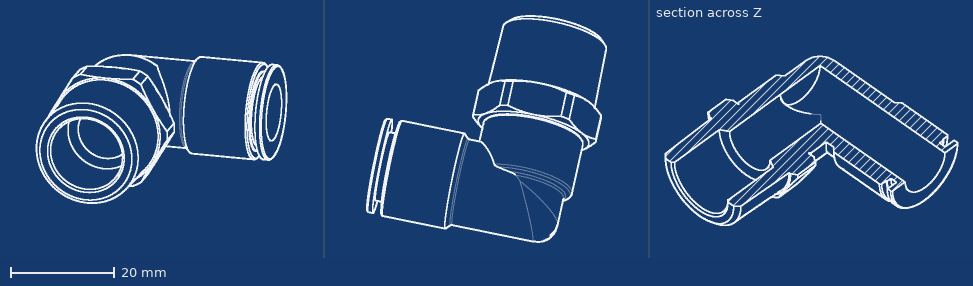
import cadquery as cq
import math


elbow_radius = 8.5
corner_tangency = 0.52
reach = 34.4

sleeve_radius = 9.9
sleeve_edge_y = -2.45
shoulder_slope = 30.0
shoulder_round = 0.55
sleeve_bottom_chamfer = 0.35

hex_top_y = -13.0
hex_width = 22.0
hex_height = 6.55
hex_corner_radius = 12.2
hex_chamfer_height = 0.77

thread_end_y = -33.55
thread_root_radius = 10.6
thread_tip_radius = 10.28
thread_chamfer = 1.0

socket_radius = 9.45
socket_slope = 45.0
socket_foot_round = 0.47
socket_start_x = 12.85
socket_end_x = 25.6
socket_chamfer = 0.3
seat_radius = 7.83
seat_length = 0.2

ring_neck_radius = 6.8
flange_radius = 9.3
flange_start_x = 27.2
flange_end_x = 28.42
flange_chamfer = 0.25

bore_radius = 5.5
mouth_radius = 7.25
mouth_chamfer = 0.47
mouth_depth = 12.9
mouth_cone_depth = 1.05

hex_bottom_y = hex_top_y - hex_height


def turned_about_y(profile):
    """Revolve (radius, y) points about the threaded leg axis."""
    return cq.Workplane("XY").polyline(profile).close().revolve(360, (0, 0), (0, 1))


def fillet_point(radius, slope):
    """Radial and axial travel along a fillet from a cylinder wall to the given slope.

    The slope is in radians, zero being square to the axis.
    """
    return radius * (1 - math.sin(slope)), radius * math.cos(slope)


def region(points):
    """Upright prism that keeps one part of the elbow."""
    return cq.Workplane("XY").polyline(points).close().extrude(reach, both=True)


def rounded_corner():
    """Wedge of an ellipsoid tangent to both legs, stretched along the outer diagonal."""
    along = math.sqrt(1 + corner_tangency)
    across = math.sqrt(1 - corner_tangency)
    half_angle = math.degrees(math.atan2(across, along))
    half_disc = cq.Workplane("XZ").moveTo(0, -elbow_radius)
    half_disc = half_disc.threePointArc((elbow_radius, 0), (0, elbow_radius)).close()
    wedge = half_disc.revolve(2 * half_angle, (0, 0), (0, 1))
    wedge = wedge.rotate((0, 0, 0), (0, 0, 1), -half_angle)
    stretch = cq.Matrix([
        [along, 0, 0, 0],
        [0, across, 0, 0],
        [0, 0, 1, 0],
    ])
    return cq.Workplane(wedge.val().transformGeometry(stretch)).rotate((0, 0, 0), (0, 0, 1), 135)


def elbow():
    above = (-corner_tangency * reach, reach)
    beside = (-reach, corner_tangency * reach)
    inner = (reach, -reach)
    x_leg_region = region([(0, 0), above, (reach, reach), inner])
    y_leg_region = region([(0, 0), inner, (-reach, -reach), beside])

    x_leg = cq.Workplane("YZ").workplane(offset=-elbow_radius).circle(elbow_radius)
    x_leg = x_leg.extrude(elbow_radius + socket_start_x).intersect(x_leg_region)
    y_leg = cq.Workplane("XZ").workplane(offset=-elbow_radius).circle(elbow_radius)
    y_leg = y_leg.extrude(elbow_radius - hex_top_y).intersect(y_leg_region)
    return x_leg.union(y_leg).union(rounded_corner())


def sleeve():
    """Sleeve whose shoulder leaves the elbow in a fillet and ends in a rounded edge."""
    slope = math.radians(shoulder_slope)
    round_dr, round_dy = fillet_point(shoulder_round, slope)
    middle_dr, middle_dy = fillet_point(shoulder_round, slope / 2 + math.pi / 4)
    slope_dr = sleeve_radius - elbow_radius - 2 * round_dr
    top_y = sleeve_edge_y + 2 * round_dy + slope_dr * math.tan(slope)
    profile = (
        cq.Workplane("XY")
        .moveTo(0, top_y)
        .lineTo(elbow_radius, top_y)
        .threePointArc(
            (elbow_radius + middle_dr, top_y - middle_dy),
            (elbow_radius + round_dr, top_y - round_dy),
        )
        .lineTo(sleeve_radius - round_dr, sleeve_edge_y + round_dy)
        .threePointArc(
            (sleeve_radius - middle_dr, sleeve_edge_y + middle_dy),
            (sleeve_radius, sleeve_edge_y),
        )
        .lineTo(sleeve_radius, hex_top_y + sleeve_bottom_chamfer)
        .lineTo(sleeve_radius - sleeve_bottom_chamfer, hex_top_y)
        .lineTo(0, hex_top_y)
        .close()
    )
    return profile.revolve(360, (0, 0), (0, 1))


def hex_collar():
    corner_diameter = hex_width / math.cos(math.pi / 6)
    prism = cq.Workplane("XZ").workplane(offset=-hex_top_y)
    prism = prism.polygon(6, corner_diameter).extrude(hex_height)
    rounding = turned_about_y([
        (0, hex_top_y),
        (hex_width / 2, hex_top_y),
        (hex_corner_radius, hex_top_y - hex_chamfer_height),
        (hex_corner_radius, hex_bottom_y + hex_chamfer_height),
        (hex_width / 2, hex_bottom_y),
        (0, hex_bottom_y),
    ])
    return prism.intersect(rounding)


def thread():
    return turned_about_y([
        (0, hex_bottom_y),
        (thread_root_radius, hex_bottom_y),
        (thread_tip_radius, thread_end_y + thread_chamfer),
        (thread_tip_radius - thread_chamfer, thread_end_y),
        (0, thread_end_y),
    ])


def socket():
    """Socket sleeve with a filleted cone rising from the elbow."""
    slope = math.radians(socket_slope)
    foot_dr, foot_dx = fillet_point(socket_foot_round, slope)
    middle_dr, middle_dx = fillet_point(socket_foot_round, slope / 2 + math.pi / 4)
    cone_dx = (socket_radius - elbow_radius - foot_dr) * math.tan(slope)
    foot_x = socket_start_x - cone_dx - foot_dx
    profile = (
        cq.Workplane("XY")
        .moveTo(foot_x, 0)
        .lineTo(foot_x, elbow_radius)
        .threePointArc(
            (foot_x + middle_dx, elbow_radius + middle_dr),
            (foot_x + foot_dx, elbow_radius + foot_dr),
        )
        .lineTo(socket_start_x, socket_radius)
        .lineTo(socket_end_x - socket_chamfer, socket_radius)
        .lineTo(socket_end_x, socket_radius - socket_chamfer)
        .lineTo(socket_end_x, 0)
        .close()
    )
    return profile.revolve(360, (0, 0), (1, 0))


def release_ring():
    profile = [
        (socket_end_x, 0),
        (socket_end_x, seat_radius),
        (socket_end_x + seat_length, seat_radius),
        (socket_end_x + seat_length, ring_neck_radius),
        (flange_start_x, ring_neck_radius),
        (flange_start_x, flange_radius),
        (flange_end_x - flange_chamfer, flange_radius),
        (flange_end_x, flange_radius - flange_chamfer),
        (flange_end_x, 0),
    ]
    return cq.Workplane("XY").polyline(profile).close().revolve(360, (0, 0), (1, 0))


def threaded_leg_bore():
    cone_start_y = thread_end_y + mouth_depth
    return turned_about_y([
        (0, 0),
        (bore_radius, 0),
        (bore_radius, cone_start_y + mouth_cone_depth),
        (mouth_radius, cone_start_y),
        (mouth_radius, thread_end_y + mouth_chamfer),
        (mouth_radius + mouth_chamfer, thread_end_y),
        (0, thread_end_y),
    ])


def socket_bore():
    bore = cq.Workplane("YZ").workplane(offset=-bore_radius).circle(bore_radius)
    return bore.extrude(bore_radius + flange_end_x)


body = elbow().union(sleeve()).union(hex_collar()).union(thread())
body = body.union(socket()).union(release_ring())
result = body.cut(threaded_leg_bore()).cut(socket_bore())